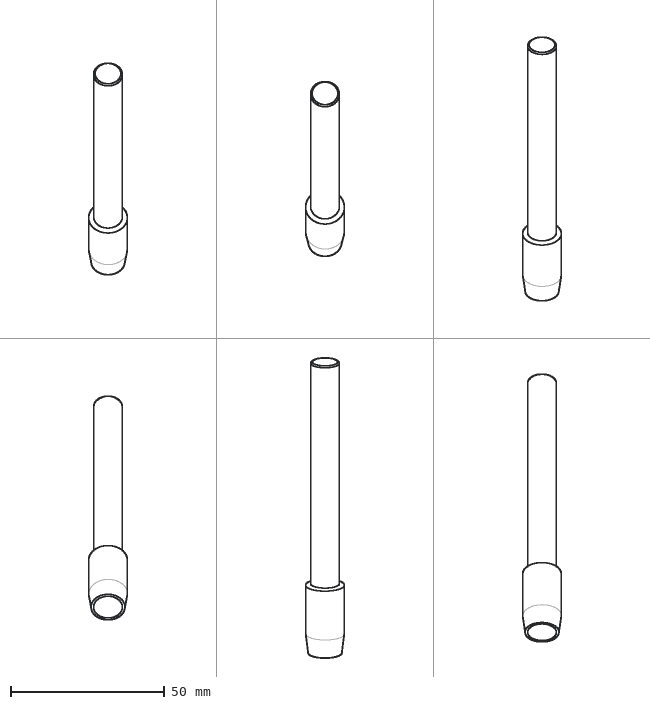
import cadquery as cq

total_length = 100.0

rod_diameter = 9.4
rod_chamfer = 0.5

sleeve_diameter = 12.7
sleeve_height = 23.8
sleeve_bevel_height = 0.5
tip_diameter = 11.1
tip_height = 6.6

rod_radius = rod_diameter / 2
sleeve_radius = sleeve_diameter / 2
tip_radius = tip_diameter / 2
shoulder_height = sleeve_height - sleeve_bevel_height


def make_rod():
    """Round rod over the full length, chamfered at its top end."""
    return cq.Workplane("XY").circle(rod_radius).extrude(total_length).faces(">Z").chamfer(rod_chamfer)


def make_sleeve():
    """Turned sleeve with a tapered lower tip, a bevelled top and a through bore that fits the rod."""
    half_section = [
        (rod_radius, 0),
        (tip_radius, 0),
        (sleeve_radius, tip_height),
        (sleeve_radius, shoulder_height),
        (rod_radius, sleeve_height),
    ]
    return cq.Workplane("XZ").polyline(half_section).close().revolve(360, (0, 0, 0), (0, 1, 0))


rod = make_rod()
sleeve = make_sleeve()

result = cq.Compound.makeCompound([rod.val(), sleeve.val()])